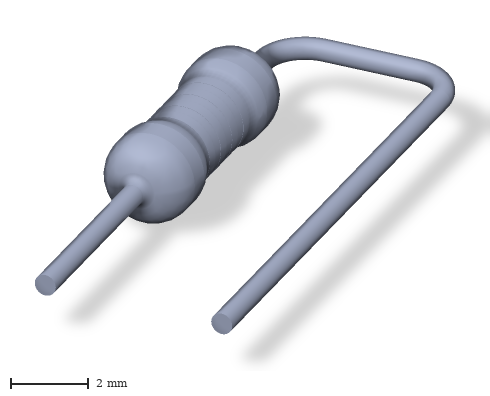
import cadquery as cq
import math

wire_diameter = 0.6
wire_radius = wire_diameter / 2
overall_length = 14.9
lead_pitch = 5.0
bend_radius = 1.19
crossbar_y = overall_length - wire_radius
bend_start_y = crossbar_y - bend_radius

body_center_y = 9.01
cap_radius = 2.5 / 2
cap_inner_half = 1.94
cap_outer_half = 2.52
cap_round = 0.9
collar_radius = 0.52
flare_end_half = 3.64

waist_radius = 2.13 / 2
band_radius = 2.15 / 2
neck_half = 1.2
band_count = 4
band_width = 2 * neck_half / (2 * band_count - 1)


def make_wire():
    bend_offset = bend_radius * math.sqrt(0.5)
    path = (
        cq.Workplane("XY")
        .lineTo(0, bend_start_y)
        .threePointArc(
            (bend_radius - bend_offset, bend_start_y + bend_offset),
            (bend_radius, crossbar_y),
        )
        .lineTo(lead_pitch - bend_radius, crossbar_y)
        .threePointArc(
            (lead_pitch - bend_radius + bend_offset, bend_start_y + bend_offset),
            (lead_pitch, bend_start_y),
        )
        .lineTo(lead_pitch, 0)
    )
    return cq.Workplane("XZ").circle(wire_radius).sweep(path)


def make_half_body():
    """Revolved half of the body, from its middle out along +Y."""
    round_center_x = cap_radius - cap_round
    round_offset = cap_round * math.sqrt(0.5)
    collar_y = cap_outer_half + math.sqrt(cap_round**2 - (collar_radius - round_center_x) ** 2)
    shoulder_middle = ((waist_radius + cap_radius) / 2, (neck_half + cap_inner_half) / 2)
    return (
        cq.Workplane("XY")
        .lineTo(waist_radius, 0)
        .lineTo(waist_radius, neck_half)
        .tangentArcPoint(shoulder_middle, relative=False)
        .tangentArcPoint((cap_radius, cap_inner_half), relative=False)
        .lineTo(cap_radius, cap_outer_half)
        .threePointArc(
            (round_center_x + round_offset, cap_outer_half + round_offset),
            (collar_radius, collar_y),
        )
        .tangentArcPoint((wire_radius, flare_end_half), relative=False)
        .lineTo(0, flare_end_half)
        .close()
        .revolve(360, (0, 0), (0, 1))
    )


def make_band(start_y):
    return (
        cq.Workplane("XY")
        .rect(band_radius, band_width, centered=False)
        .revolve(360, (0, 0), (0, 1))
        .translate((0, start_y, 0))
    )


half_body = make_half_body()
body = half_body.union(half_body.mirror("XZ"))
for index in range(band_count):
    body = body.union(make_band(-neck_half + 2 * index * band_width))

result = make_wire().union(body.translate((0, body_center_y, 0)))